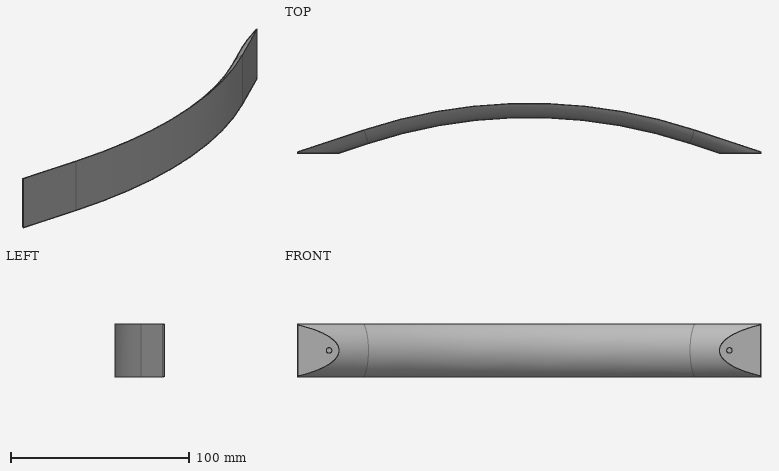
import cadquery as cq
import math

length = 260.0
rise = 28.0
height = 30.0

thickness = 8.0

tip_width = 0.8

tangent_reach = 47.5

hole_diameter = 3.0
hole_depth = 4.0
hole_inset = 17.7

overrun = 39.0

half_length = length / 2
end_angle = math.atan2(rise - tip_width, half_length - tangent_reach)
bend_radius = tangent_reach / math.tan(end_angle / 2)


path_end_x = half_length + overrun * math.cos(end_angle)
path_end_y = tip_width - overrun * math.sin(end_angle)


def back_path():
    """Centre line of the flat back: straight, arc, straight, running along +X."""
    bend_end_x = bend_radius * math.sin(end_angle)
    bend_end_y = rise - bend_radius * (1 - math.cos(end_angle))
    return (
        cq.Workplane("XY")
        .moveTo(-path_end_x, path_end_y)
        .lineTo(-bend_end_x, bend_end_y)
        .threePointArc((0, rise), (bend_end_x, bend_end_y))
        .lineTo(path_end_x, path_end_y)
    )


def swept_bar():
    """Sweep the cross-section along the back path."""
    section_plane = cq.Plane(
        origin=(-path_end_x, path_end_y, 0),
        xDir=(math.sin(end_angle), -math.cos(end_angle), 0),
        normal=(math.cos(end_angle), math.sin(end_angle), 0),
    )
    section = (
        cq.Workplane(section_plane)
        .moveTo(0, -height / 2)
        .threePointArc((thickness, 0), (0, height / 2))
        .close()
    )
    return section.sweep(back_path())


def trim_ends(bar):
    """Keep only the material behind the mounting plane Y = 0 and between the blunt tips."""
    keep = cq.Workplane("XY").box(length, 2 * rise, 2 * height, centered=(True, False, True))
    return bar.intersect(keep)


def screw_holes():
    """One blind hole in each foot, drilled along +Y."""
    hole_x = half_length - hole_inset
    return (
        cq.Workplane("XZ")
        .pushPoints([(-hole_x, 0), (hole_x, 0)])
        .circle(hole_diameter / 2)
        .extrude(-hole_depth)
    )


result = trim_ends(swept_bar()).cut(screw_holes())